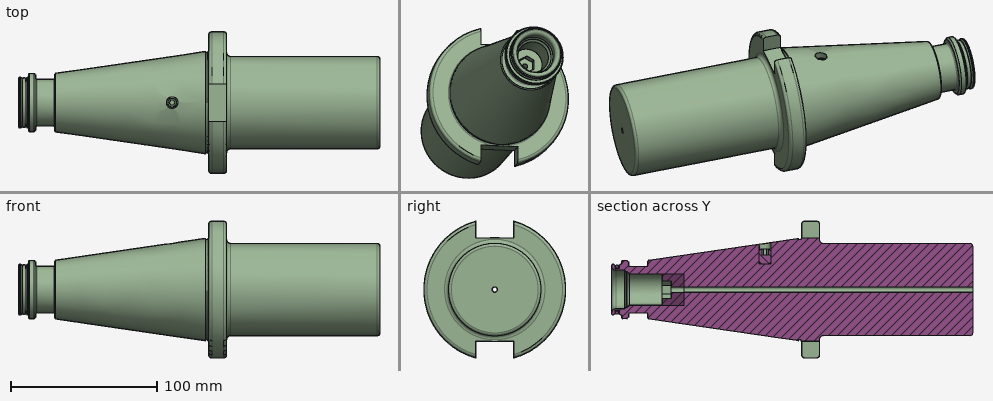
import cadquery as cq
import math

TOTAL_LENGTH = 246.8
FULL_TURN = 360

LIP_RADIUS = 17.5
LIP_FRONT_EDGE = 0.7
GROOVE_EDGE = 1.0
COLLAR_RADIUS = 20.0
COLLAR_START = 7.0
COLLAR_END = 11.8
COLLAR_FRONT_CHAMFER = 0.5
COLLAR_BACK_CHAMFER = 1.2
NECK_RADIUS = 16.0
NECK_FILLET = 0.7
GROOVE_START = 2.5
GROOVE_WIDTH = 2.7
SEAL_SECTION = 2.5
SEAL_OUTER_RADIUS = 17.0

TAPER_START = 24.7
TAPER_END = 127.5
TAPER_LARGE_RADIUS = 35.0
TAPER_SLOPE = 7 / 24 / 2
TAPER_NOSE_CHAMFER = 0.7
RELIEF_RADIUS = 34.3
RELIEF_FILLET = 1.2

FLANGE_START = 129.8
FLANGE_END = 142.2
FLANGE_DIAMETER = 97.0
FLANGE_RADIUS = FLANGE_DIAMETER / 2
FLANGE_FILLET = 2.2
SLOT_WIDTH = 25.7
SLOT_FLOOR = 35.3

SHANK_RADIUS = 31.5
SHANK_ROOT_FILLET = 2.7
SHANK_END_FILLET = 2.0

MOUTH_RADIUS = 16.0
COUNTERBORE_RADIUS = 13.0
COUNTERBORE_DEPTH = 9.0
STEP_RADIUS = 12.0
STEP_LENGTH = 0.7
LEAD_IN_LENGTH = 1.7
THREAD_RADIUS = 10.5
THREAD_DEPTH = 49.4
COOLANT_RADIUS = 1.7

HEX_SIDES = 6
PLUG_LENGTH = 14.8
PLUG_HEX = 10.0
PLUG_HEX_DEPTH = 6.2
SCREW_X = 105.0
SCREW_RADIUS = 4.0
SCREW_TOP = 27.6
SCREW_LENGTH = 9.9
SCREW_CHAMFER = 1.0
SCREW_HEX = 3.5
SCREW_HEX_DEPTH = 4.0


def hexagon_diameter(across_flats):
    """Corner-to-corner size of a hexagon given its width across flats."""
    return across_flats / math.cos(math.pi / HEX_SIDES)


def arc_middle_offset(radius):
    """Distance, along each axis, from a fillet's sharp corner to the middle of its arc."""
    return radius * (1 - math.sqrt(0.5))


def revolve_about_x(profile):
    """Turn a closed XZ profile a full revolution about the X axis."""
    return profile.close().revolve(FULL_TURN, (0, 0, 0), (1, 0, 0))


def x_cylinder(start, length, radius):
    """A cylinder on the X axis."""
    return cq.Workplane("YZ", origin=(start, 0, 0)).circle(radius).extrude(length)


def turned_blank():
    """Outer turned shape of the holder, solid inside."""
    groove_end = GROOVE_START + GROOVE_WIDTH
    groove_floor = SEAL_OUTER_RADIUS - SEAL_SECTION
    taper_small_radius = TAPER_LARGE_RADIUS - TAPER_SLOPE * (TAPER_END - TAPER_START)
    neck_arc_offset = arc_middle_offset(NECK_FILLET)
    relief_arc_offset = arc_middle_offset(RELIEF_FILLET)
    flange_arc_offset = arc_middle_offset(FLANGE_FILLET)
    root_arc_offset = arc_middle_offset(SHANK_ROOT_FILLET)
    end_arc_offset = arc_middle_offset(SHANK_END_FILLET)
    profile = (
        cq.Workplane("XZ")
        .lineTo(0, LIP_RADIUS - LIP_FRONT_EDGE)
        .lineTo(LIP_FRONT_EDGE, LIP_RADIUS)
        .lineTo(GROOVE_START - GROOVE_EDGE, LIP_RADIUS)
        .lineTo(GROOVE_START, LIP_RADIUS - GROOVE_EDGE)
        .lineTo(GROOVE_START, groove_floor)
        .lineTo(groove_end, groove_floor)
        .lineTo(groove_end, LIP_RADIUS - GROOVE_EDGE)
        .lineTo(groove_end + GROOVE_EDGE, LIP_RADIUS)
        .lineTo(COLLAR_START, LIP_RADIUS)
        .lineTo(COLLAR_START, COLLAR_RADIUS - COLLAR_FRONT_CHAMFER)
        .lineTo(COLLAR_START + COLLAR_FRONT_CHAMFER, COLLAR_RADIUS)
        .lineTo(COLLAR_END - COLLAR_BACK_CHAMFER, COLLAR_RADIUS)
        .lineTo(COLLAR_END, COLLAR_RADIUS - COLLAR_BACK_CHAMFER)
        .lineTo(COLLAR_END, NECK_RADIUS + NECK_FILLET)
        .threePointArc(
            (COLLAR_END + neck_arc_offset, NECK_RADIUS + neck_arc_offset),
            (COLLAR_END + NECK_FILLET, NECK_RADIUS),
        )
        .lineTo(TAPER_START - NECK_FILLET, NECK_RADIUS)
        .threePointArc(
            (TAPER_START - neck_arc_offset, NECK_RADIUS + neck_arc_offset),
            (TAPER_START, NECK_RADIUS + NECK_FILLET),
        )
        .lineTo(TAPER_START, taper_small_radius - TAPER_NOSE_CHAMFER)
        .lineTo(TAPER_START + TAPER_NOSE_CHAMFER, taper_small_radius + TAPER_SLOPE * TAPER_NOSE_CHAMFER)
        .lineTo(TAPER_END, TAPER_LARGE_RADIUS)
        .lineTo(TAPER_END, RELIEF_RADIUS)
        .lineTo(FLANGE_START - RELIEF_FILLET, RELIEF_RADIUS)
        .threePointArc(
            (FLANGE_START - relief_arc_offset, RELIEF_RADIUS + relief_arc_offset),
            (FLANGE_START, RELIEF_RADIUS + RELIEF_FILLET),
        )
        .lineTo(FLANGE_START, FLANGE_RADIUS - FLANGE_FILLET)
        .threePointArc(
            (FLANGE_START + flange_arc_offset, FLANGE_RADIUS - flange_arc_offset),
            (FLANGE_START + FLANGE_FILLET, FLANGE_RADIUS),
        )
        .lineTo(FLANGE_END - FLANGE_FILLET, FLANGE_RADIUS)
        .threePointArc(
            (FLANGE_END - flange_arc_offset, FLANGE_RADIUS - flange_arc_offset),
            (FLANGE_END, FLANGE_RADIUS - FLANGE_FILLET),
        )
        .lineTo(FLANGE_END, SHANK_RADIUS + SHANK_ROOT_FILLET)
        .threePointArc(
            (FLANGE_END + root_arc_offset, SHANK_RADIUS + root_arc_offset),
            (FLANGE_END + SHANK_ROOT_FILLET, SHANK_RADIUS),
        )
        .lineTo(TOTAL_LENGTH - SHANK_END_FILLET, SHANK_RADIUS)
        .threePointArc(
            (TOTAL_LENGTH - end_arc_offset, SHANK_RADIUS - end_arc_offset),
            (TOTAL_LENGTH, SHANK_RADIUS - SHANK_END_FILLET),
        )
        .lineTo(TOTAL_LENGTH, 0)
    )
    return revolve_about_x(profile)


def key_slot(side):
    """Cutter for one slot across the flange; side is +1 for +Z and -1 for -Z."""
    height = FLANGE_RADIUS - SLOT_FLOOR
    middle_x = (FLANGE_START + FLANGE_END) / 2
    middle_z = side * (SLOT_FLOOR + height / 2)
    return (
        cq.Workplane("XY", origin=(middle_x, 0, middle_z))
        .box(FLANGE_END - FLANGE_START, SLOT_WIDTH, height)
    )


def nose_bore():
    """Round-mouthed counterbore, lead-in cone, plug bore and coolant hole."""
    mouth_fillet = MOUTH_RADIUS - COUNTERBORE_RADIUS
    arc_offset = arc_middle_offset(mouth_fillet)
    step_start = COUNTERBORE_DEPTH + COUNTERBORE_RADIUS - STEP_RADIUS
    step_end = step_start + STEP_LENGTH
    profile = (
        cq.Workplane("XZ")
        .lineTo(0, MOUTH_RADIUS)
        .threePointArc(
            (arc_offset, COUNTERBORE_RADIUS + arc_offset),
            (mouth_fillet, COUNTERBORE_RADIUS),
        )
        .lineTo(COUNTERBORE_DEPTH, COUNTERBORE_RADIUS)
        .lineTo(step_start, STEP_RADIUS)
        .lineTo(step_end, STEP_RADIUS)
        .lineTo(step_end + LEAD_IN_LENGTH, THREAD_RADIUS)
        .lineTo(THREAD_DEPTH, THREAD_RADIUS)
        .lineTo(THREAD_DEPTH, COOLANT_RADIUS)
        .lineTo(TOTAL_LENGTH, COOLANT_RADIUS)
        .lineTo(TOTAL_LENGTH, 0)
    )
    return revolve_about_x(profile)


def screw_cylinder(top):
    """A cylinder of the set screw's diameter, from its inner end up to the given height."""
    bottom = SCREW_TOP - SCREW_LENGTH
    return cq.Workplane("XY", origin=(SCREW_X, 0, bottom)).circle(SCREW_RADIUS).extrude(top - bottom)


def make_holder():
    """Tapered holder with its key slots, bore and screw hole."""
    body = turned_blank().cut(nose_bore())
    for side in (1, -1):
        body = body.cut(key_slot(side))
    return body.cut(screw_cylinder(TAPER_LARGE_RADIUS))


def make_seal_ring():
    """O-ring seated on the groove floor, midway along the groove."""
    section_radius = SEAL_SECTION / 2
    centre = cq.Vector(GROOVE_START + GROOVE_WIDTH / 2, 0, 0)
    axis = cq.Vector(1, 0, 0)
    ring = cq.Solid.makeTorus(SEAL_OUTER_RADIUS - section_radius, section_radius, centre, axis)
    return cq.Workplane(ring)


def make_plug():
    """Plug closing the bore, with a hex socket and a coolant hole."""
    front = THREAD_DEPTH - PLUG_LENGTH
    socket = (
        cq.Workplane("YZ", origin=(front, 0, 0))
        .polygon(HEX_SIDES, hexagon_diameter(PLUG_HEX))
        .extrude(PLUG_HEX_DEPTH)
        .rotate((0, 0, 0), (1, 0, 0), FULL_TURN / 4)
    )
    return (
        x_cylinder(front, PLUG_LENGTH, THREAD_RADIUS)
        .cut(socket)
        .cut(x_cylinder(front, PLUG_LENGTH, COOLANT_RADIUS))
    )


def make_set_screw():
    """Radial set screw with chamfered ends and a hex socket in its top."""
    socket = (
        cq.Workplane("XY", origin=(SCREW_X, 0, SCREW_TOP))
        .polygon(HEX_SIDES, hexagon_diameter(SCREW_HEX))
        .extrude(-SCREW_HEX_DEPTH)
    )
    return screw_cylinder(SCREW_TOP).faces(">Z or <Z").chamfer(SCREW_CHAMFER).cut(socket)


holder = make_holder()
seal_ring = make_seal_ring()
plug = make_plug()
set_screw = make_set_screw()

result = cq.Compound.makeCompound([holder.val(), seal_ring.val(), plug.val(), set_screw.val()])